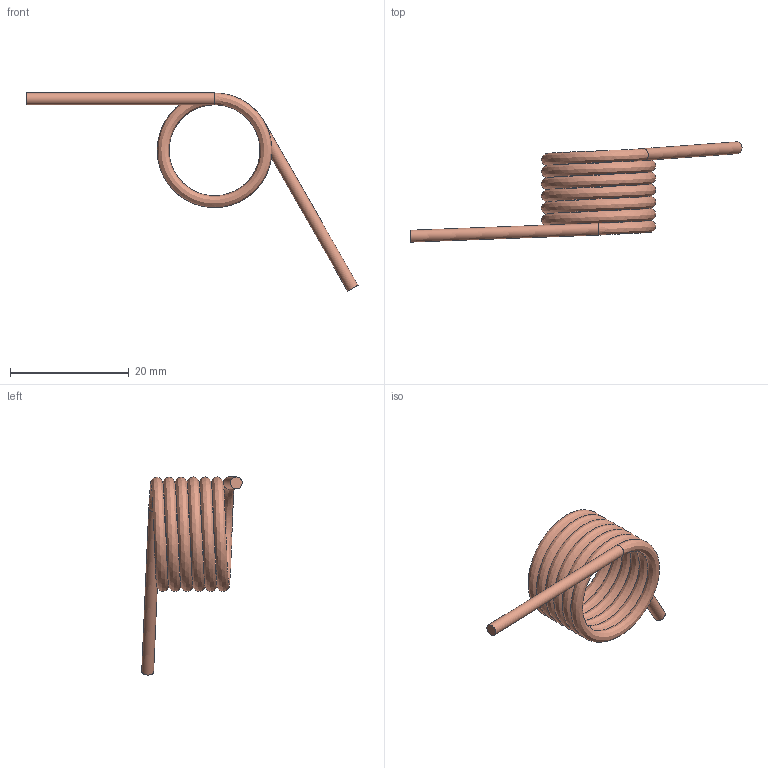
import cadquery as cq
import math

wire_diameter = 2.0
mean_radius = 8.65
pitch = 2.036
full_turns = 6
leg_length = 31.73
end_leg_turn = 60.17

turns = full_turns + end_leg_turn / 360.0
coil_length = pitch * turns
helix_angle = math.atan2(pitch, 2.0 * math.pi * mean_radius)

coil_plane = cq.Plane(origin=(0, -coil_length / 2.0, 0), xDir=(0, 0, 1), normal=(0, 1, 0))


def helix_point(turn_angle):
    """Point on the wire centreline, in the coil frame."""
    return cq.Vector(
        mean_radius * math.cos(turn_angle),
        mean_radius * math.sin(turn_angle),
        pitch * turn_angle / (2.0 * math.pi),
    )


def helix_tangent(turn_angle):
    """Unit direction of the wire centreline, in the coil frame."""
    return cq.Vector(
        -math.sin(turn_angle) * math.cos(helix_angle),
        math.cos(turn_angle) * math.cos(helix_angle),
        math.sin(helix_angle),
    )


def make_coil():
    """Round wire wound along the helix."""
    path = cq.Wire.makeHelix(pitch, coil_length, mean_radius)
    section_plane = cq.Plane(origin=helix_point(0), xDir=(1, 0, 0), normal=helix_tangent(0))
    section = cq.Workplane(section_plane).circle(wire_diameter / 2.0)
    return section.sweep(cq.Workplane(obj=path), isFrenet=True).val()


def make_leg(turn_angle, sense):
    """Straight leg leaving the coil tangentially, forwards (+1) or backwards (-1) along the wire."""
    direction = helix_tangent(turn_angle) * sense
    return cq.Solid.makeCylinder(wire_diameter / 2.0, leg_length, helix_point(turn_angle), direction)


start_leg = make_leg(0.0, -1)
end_leg = make_leg(2.0 * math.pi * turns, 1)
spring = make_coil().fuse(start_leg, end_leg)

result = cq.Workplane(obj=spring.moved(cq.Location(coil_plane)))